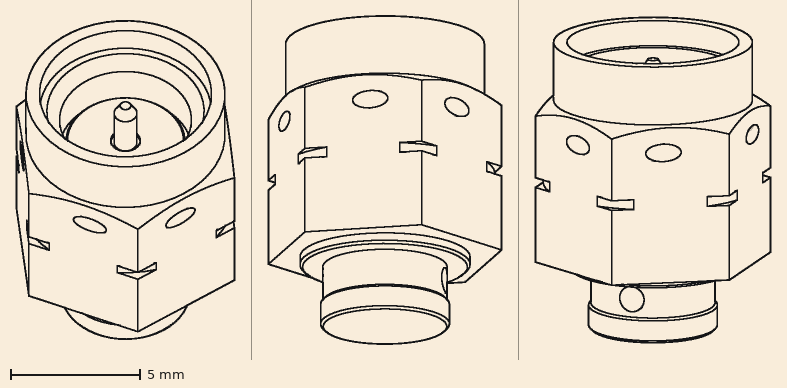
import cadquery as cq
import math

total_height = 11.4
collar_top = 1.0
flange_bottom = 2.4
hex_bottom = 2.8
hex_top = 9.09
slot_bottom = 5.79
slot_height = 0.39
wire_hole_height = 8.0
cross_hole_height = 1.71

collar_radius = 2.5
collar_chamfer = 0.1
neck_radius = 2.4
flange_radius = 3.3
flange_chamfer = 0.1
ring_radius = 3.85
hex_across_flats = 8.0
hex_across_corners = hex_across_flats / math.cos(math.radians(30))
hex_chamfer_angle = 30.0
slot_core_radius = 4.25
cutter_margin = 0.11

bore_radius = 3.33
bore_depth = 1.0
funnel_top_radius = 3.04
socket_radius = 2.55
socket_depth = 3.12
insert_radius = 2.3
insert_chamfer = 0.06
insert_height = 0.46

pin_radius = 0.45
pin_tip_radius = 0.2
pin_top = 10.72
pin_taper_height = 0.43
pin_clearance_radius = 0.57
pin_clearance_depth = 0.11

cross_hole_diameter = 1.0
wire_hole_diameter = 0.7
wire_hole_offset = 3.6
wire_hole_count = 3


def revolve_profile(points):
    """Revolve a closed (radius, height) outline about the Z axis."""
    outline = cq.Workplane("XZ").polyline(points).close()
    return outline.revolve(360, (0, 0), (0, 1))


def cylinder(radius, bottom, height):
    return cq.Workplane("XY").workplane(offset=bottom).circle(radius).extrude(height)


def make_stem():
    """Collar, neck and flange below the hexagon."""
    collar = cylinder(collar_radius, 0, collar_top).faces("<Z or >Z").chamfer(collar_chamfer)
    neck = cylinder(neck_radius, collar_chamfer, hex_bottom - collar_chamfer)
    flange = cylinder(flange_radius, flange_bottom, hex_bottom - flange_bottom)
    flange = flange.faces("<Z").chamfer(flange_chamfer)
    return collar.union(neck).union(flange)


def make_hexagon():
    """Hexagon with corners on Y, a conical top and a slot across each corner."""
    prism = cq.Workplane("XY").workplane(offset=hex_bottom)
    prism = prism.polygon(6, hex_across_corners).extrude(hex_top - hex_bottom)
    prism = prism.rotate((0, 0, 0), (0, 0, 1), 30)
    corner_radius = hex_across_corners / 2
    outside_radius = corner_radius + cutter_margin
    chamfer_drop = (outside_radius - ring_radius) * math.tan(math.radians(hex_chamfer_angle))
    chamfer = revolve_profile([
        (ring_radius, hex_top),
        (outside_radius, hex_top),
        (outside_radius, hex_top - chamfer_drop),
    ])
    slot = cylinder(outside_radius, slot_bottom, slot_height)
    slot = slot.cut(cylinder(slot_core_radius, slot_bottom, slot_height))
    return prism.cut(chamfer).cut(slot)


def make_socket():
    """Stepped opening: bore, 45 degree funnel and straight socket."""
    bore_floor = total_height - bore_depth
    funnel_floor = bore_floor - (funnel_top_radius - socket_radius)
    socket_floor = total_height - socket_depth
    return revolve_profile([
        (0, total_height),
        (bore_radius, total_height),
        (bore_radius, bore_floor),
        (funnel_top_radius, bore_floor),
        (socket_radius, funnel_floor),
        (socket_radius, socket_floor),
        (0, socket_floor),
    ])


def make_insert():
    """Raised disc on the socket floor with a recess around the contact pin."""
    socket_floor = total_height - socket_depth
    insert_top = socket_floor + insert_height
    recess_floor = insert_top - pin_clearance_depth
    disc = cylinder(insert_radius, socket_floor, insert_height)
    disc = disc.faces(">Z").chamfer(insert_chamfer)
    recess = cylinder(pin_clearance_radius, recess_floor, pin_clearance_depth)
    pin = revolve_profile([
        (0, recess_floor),
        (pin_radius, recess_floor),
        (pin_radius, pin_top - pin_taper_height),
        (pin_tip_radius, pin_top),
        (0, pin_top),
    ])
    return disc.cut(recess).union(pin)


def make_cross_hole():
    """Hole through the neck along Y."""
    drill = cq.Workplane("XZ").center(0, cross_hole_height).circle(cross_hole_diameter / 2)
    return drill.extrude(collar_radius * 2, both=True)


def make_wire_holes():
    """Safety wire holes through alternate corners of the hexagon."""
    drill = cq.Workplane("YZ").center(wire_hole_offset, wire_hole_height)
    drill = drill.circle(wire_hole_diameter / 2).extrude(hex_across_flats / 2, both=True)
    holes = drill
    for index in range(1, wire_hole_count):
        holes = holes.union(drill.rotate((0, 0, 0), (0, 0, 1), index * 360 / wire_hole_count))
    return holes


ring = cylinder(ring_radius, hex_top, total_height - hex_top)
body = make_stem().union(make_hexagon()).union(ring)
body = body.cut(make_socket()).union(make_insert())
result = body.cut(make_cross_hole()).cut(make_wire_holes())